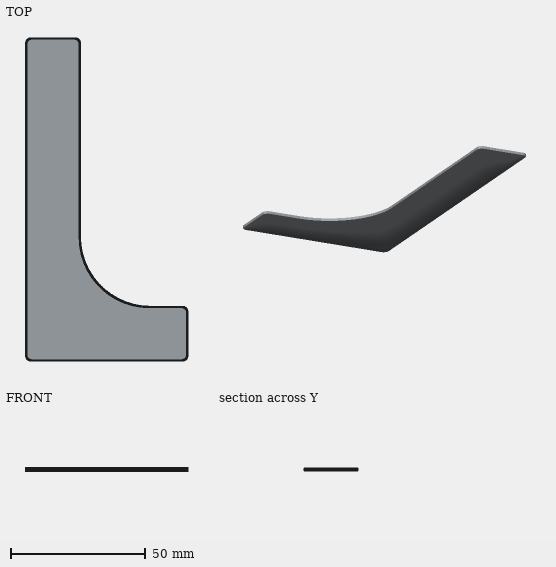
import cadquery as cq

width = 60.0
length = 120.0
thickness = 1.0

arm_width = 20.0

outer_corner_radius = 2.0
inner_corner_radius = 26.0


def l_blank():
    """Sharp-cornered L with its outer corner at the origin."""
    return (
        cq.Workplane("XY")
        .moveTo(0, 0)
        .lineTo(width, 0)
        .lineTo(width, arm_width)
        .lineTo(arm_width, arm_width)
        .lineTo(arm_width, length)
        .lineTo(0, length)
        .close()
        .extrude(thickness)
    )


def round_corners(plate):
    """Large radius in the inside corner, small radius on the five outside corners."""
    inner_corner = cq.selectors.NearestToPointSelector((arm_width, arm_width, thickness / 2))
    plate = plate.edges("|Z").edges(inner_corner).fillet(inner_corner_radius)

    outer_corners = "(<X or >X or >Y) and |Z"
    return plate.edges(outer_corners).fillet(outer_corner_radius)


def build_plate():
    return round_corners(l_blank())


result = build_plate()